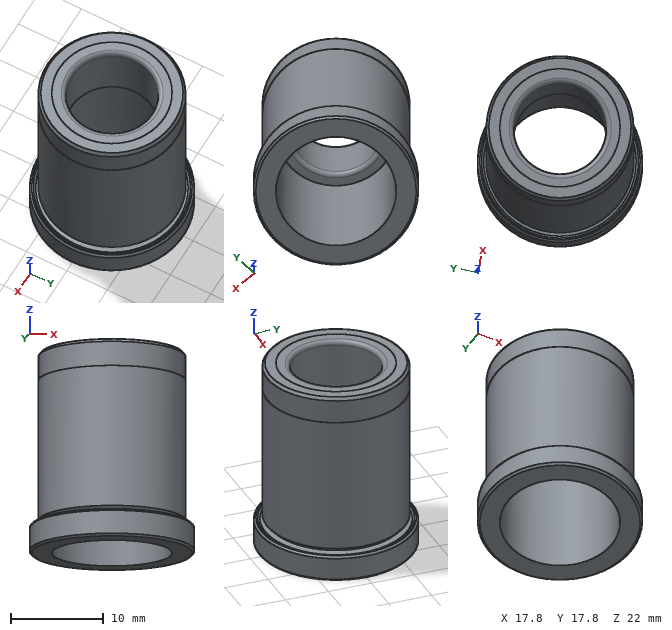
import cadquery as cq
import math

total_height = 22.0
flange_radius = 17.8 / 2
flange_height = 3.01
flange_chamfer = 0.25
body_radius = 7.99
lead_radius = 7.96
lead_height = 3.01
lead_chamfer_width = 0.29
lead_chamfer_height = 0.35

groove_top = flange_height + 0.5
groove_depth = 0.5
groove_sink = 0.13
groove_outer_radius = 8.47
groove_floor_radius = 8.23

liner_outer_radius = 6.5
liner_bore_radius = 5.0
liner_length = 7.0
liner_rounding = 0.5


def make_housing():
    """Revolve the bushing wall, including its flange and relief groove."""
    lead_start = total_height - lead_height
    groove_radius = body_radius - groove_depth
    groove_floor = flange_height - groove_sink
    flank_bottom = groove_top - groove_depth
    corner_mid = (
        groove_floor_radius - (groove_floor_radius - groove_radius) * math.sqrt(0.5),
        flank_bottom - (flank_bottom - groove_floor) * math.sqrt(0.5),
    )
    profile = (
        cq.Workplane("XZ")
        .moveTo(liner_outer_radius, 0)
        .lineTo(flange_radius - flange_chamfer, 0)
        .lineTo(flange_radius, flange_chamfer)
        .lineTo(flange_radius, flange_height - flange_chamfer)
        .lineTo(flange_radius - flange_chamfer, flange_height)
        .lineTo(groove_outer_radius, flange_height)
        .lineTo(groove_floor_radius, groove_floor)
        .threePointArc(corner_mid, (groove_radius, flank_bottom))
        .lineTo(body_radius, groove_top)
        .lineTo(body_radius, lead_start)
        .lineTo(lead_radius, lead_start)
        .lineTo(lead_radius, total_height - lead_chamfer_height)
        .lineTo(lead_radius - lead_chamfer_width, total_height)
        .lineTo(liner_outer_radius, total_height)
        .close()
    )
    return profile.revolve(360, (0, 0, 0), (0, 1, 0))


def make_liner():
    """Sleeve flush with the housing top, with both bore mouths rounded."""
    sleeve = (
        cq.Workplane("XY", origin=(0, 0, total_height - liner_length))
        .circle(liner_outer_radius)
        .circle(liner_bore_radius)
        .extrude(liner_length)
    )
    bore_mouths = cq.selectors.RadiusNthSelector(0)
    return sleeve.edges("%CIRCLE").edges(bore_mouths).fillet(liner_rounding)


housing = make_housing()
liner = make_liner()

result = cq.Compound.makeCompound([housing.val(), liner.val()])